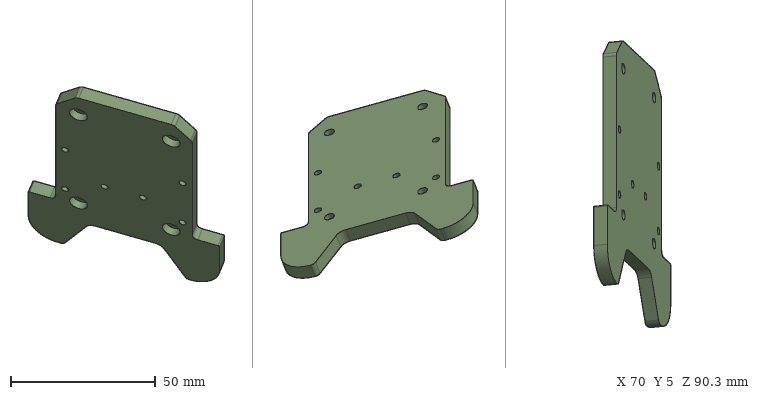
import cadquery as cq
import math

height = 90.25
thickness = 5.0
foot_half_width = 35.0
body_half_width = 25.0
shoulder_z = 25.45

left_corner_cut = 7.7
right_corner_cut = 6.9
corner_radius = 2.0

foot_radius = 11.0
foot_top_radius = 0.5
tip_radius = 2.0
notch_height = 16.15
notch_left_x = -12.7
notch_right_x = 13.6
notch_flank_angle = 30.0
notch_radius = 4.0
notch_flank_run = notch_height * math.tan(math.radians(notch_flank_angle))
left_tip_x = notch_left_x - notch_flank_run
right_tip_x = notch_right_x + notch_flank_run

screw_spacing = 33.9
screw_center_x = 0.4
screw_heights = (27.2, 80.2)
screw_diameter = 3.5
counterbore_diameter = 6.5
counterbore_depth = 3.0

pin_diameter = 2.5
side_pin_x = 21.5
side_pin_heights = (33.3, 56.9)
center_pin_x = 7.0
center_pin_z = 41.4


def mirrored_points(x, heights):
    """Points at -x and +x for every height."""
    return [(side * x, z) for z in heights for side in (-1, 1)]


def round_edges(body, points, radius):
    """Fillet the through-thickness edges that pass through the given X-Z points."""
    for x, z in points:
        edge = cq.selectors.NearestToPointSelector((x, thickness / 2, z))
        body = body.edges("|Y").edges(edge).fillet(radius)
    return body


def make_plate():
    outline = [
        (left_tip_x, 0),
        (-foot_half_width, 0),
        (-foot_half_width, shoulder_z),
        (-body_half_width, shoulder_z),
        (-body_half_width, height - left_corner_cut),
        (-body_half_width + left_corner_cut, height),
        (body_half_width - right_corner_cut, height),
        (body_half_width, height - right_corner_cut),
        (body_half_width, shoulder_z),
        (foot_half_width, shoulder_z),
        (foot_half_width, 0),
        (right_tip_x, 0),
        (notch_right_x, notch_height),
        (notch_left_x, notch_height),
    ]
    plate = cq.Workplane("XZ").polyline(outline).close().extrude(-thickness)

    top_corners = [
        (-body_half_width, height - left_corner_cut),
        (-body_half_width + left_corner_cut, height),
        (body_half_width - right_corner_cut, height),
        (body_half_width, height - right_corner_cut),
    ]
    shoulder_corners = mirrored_points(body_half_width, [shoulder_z])
    plate = round_edges(plate, top_corners + shoulder_corners, corner_radius)
    plate = round_edges(plate, mirrored_points(foot_half_width, [0]), foot_radius)
    plate = round_edges(plate, mirrored_points(foot_half_width, [shoulder_z]), foot_top_radius)
    plate = round_edges(plate, [(left_tip_x, 0), (right_tip_x, 0)], tip_radius)
    notch_corners = [(notch_left_x, notch_height), (notch_right_x, notch_height)]
    return round_edges(plate, notch_corners, notch_radius)


def make_cylinders(points, diameter, depth):
    """Cylinders running from the front face into the plate."""
    return cq.Workplane("XZ").pushPoints(points).circle(diameter / 2).extrude(-depth)


screw_points = [(screw_center_x + x, z) for x, z in mirrored_points(screw_spacing / 2, screw_heights)]
pin_points = mirrored_points(side_pin_x, side_pin_heights) + mirrored_points(center_pin_x, [center_pin_z])

result = (
    make_plate()
    .cut(make_cylinders(screw_points, screw_diameter, thickness))
    .cut(make_cylinders(screw_points, counterbore_diameter, counterbore_depth))
    .cut(make_cylinders(pin_points, pin_diameter, thickness))
)